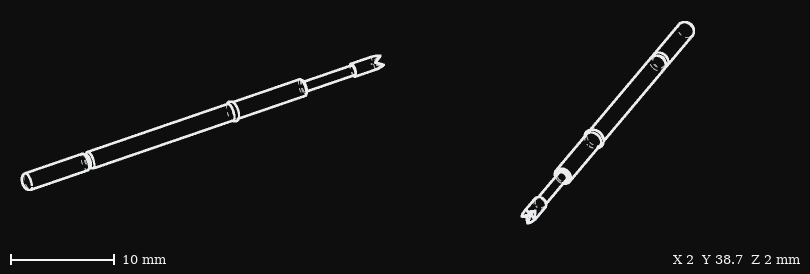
import cadquery as cq
import math


total_length = 38.7
head_length = 3.0
stem_length = 5.35
barrel_length = total_length - head_length - stem_length

barrel_diameter = 1.7
ring_diameter = 2.0
stem_diameter = 1.0
head_diameter = 1.32

barrel_radius = barrel_diameter / 2
tail_rounding = 0.42
tail_bulge = 0.1
mouth_chamfer = 0.15
ring_center_y = 22.65
ring_width = 0.5
groove_center_y = 6.9
groove_width = 0.58
groove_bottom_width = 0.08
groove_depth = 0.2

crown_angle = 60.0
crown_cut_rolls = (45, -45)
head_radius = head_diameter / 2
tip_offset = head_radius / math.sqrt(2)
crown_depth = tip_offset / math.tan(math.radians(crown_angle / 2))


def rod(diameter, start_y, length):
    """Cylinder on the Y axis that starts at start_y and runs toward +Y."""
    return cq.Workplane("XZ", origin=(0, start_y, 0)).circle(diameter / 2).extrude(-length)


def make_groove_cutter():
    """Ring with a tapered, flat-bottomed section that cuts the crimp groove."""
    bottom_radius = barrel_radius - groove_depth
    return (
        cq.Workplane("XY")
        .moveTo(barrel_radius, groove_center_y - groove_width / 2)
        .lineTo(bottom_radius, groove_center_y - groove_bottom_width / 2)
        .lineTo(bottom_radius, groove_center_y + groove_bottom_width / 2)
        .lineTo(barrel_radius, groove_center_y + groove_width / 2)
        .close()
        .revolve(360, (0, 0, 0), (0, 1, 0))
    )


def make_press_ring():
    """Ring with a rounded crest that stands out from the barrel."""
    start_y = ring_center_y - ring_width / 2
    end_y = ring_center_y + ring_width / 2
    return (
        cq.Workplane("XY")
        .moveTo(0, start_y)
        .lineTo(barrel_radius, start_y)
        .threePointArc((ring_diameter / 2, ring_center_y), (barrel_radius, end_y))
        .lineTo(0, end_y)
        .close()
        .revolve(360, (0, 0, 0), (0, 1, 0))
    )


def make_barrel_body():
    """Barrel with a rounded tail around a flat end, and a chamfered mouth."""
    return (
        cq.Workplane("XY")
        .lineTo(barrel_radius - tail_rounding, 0)
        .sagittaArc((barrel_radius, tail_rounding), -tail_bulge)
        .lineTo(barrel_radius, barrel_length - mouth_chamfer)
        .lineTo(barrel_radius - mouth_chamfer, barrel_length)
        .lineTo(0, barrel_length)
        .close()
        .revolve(360, (0, 0, 0), (0, 1, 0))
    )


def make_barrel():
    """Barrel body with its crimp groove and press ring."""
    return make_barrel_body().cut(make_groove_cutter()).union(make_press_ring())


def make_crown_cutter(roll):
    """V-shaped bar across the head, rolled about the Y axis by the given angle."""
    return (
        cq.Workplane("XY")
        .moveTo(0, total_length - crown_depth)
        .lineTo(tip_offset, total_length)
        .lineTo(head_diameter, total_length)
        .lineTo(head_diameter, total_length + crown_depth)
        .lineTo(-head_diameter, total_length + crown_depth)
        .lineTo(-head_diameter, total_length)
        .lineTo(-tip_offset, total_length)
        .close()
        .extrude(head_diameter, both=True)
        .rotate((0, 0, 0), (0, 1, 0), roll)
    )


def make_plunger():
    """Stem and head, with two crossed V cuts that leave four points."""
    stem = rod(stem_diameter, barrel_length, stem_length)
    head = rod(head_diameter, barrel_length + stem_length, head_length)
    for roll in crown_cut_rolls:
        head = head.cut(make_crown_cutter(roll))
    return stem.union(head)


result = make_barrel().union(make_plunger())